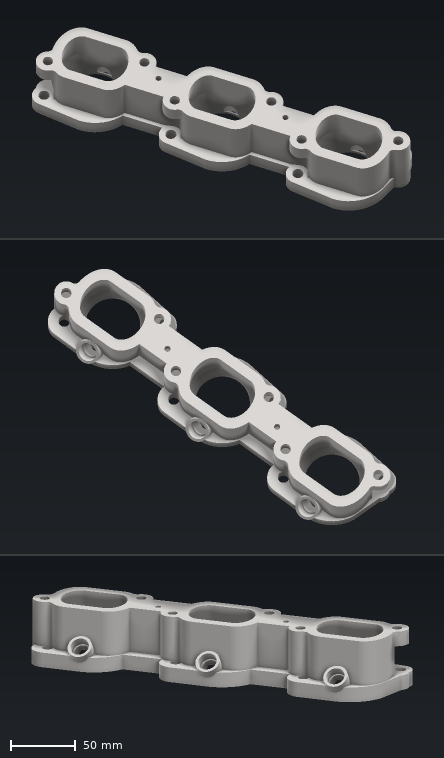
import cadquery as cq
import math

PORT_PITCH = 105.0
PORT_POSITIONS = [-PORT_PITCH, 0.0, PORT_PITCH]
FIRST_PORT = PORT_POSITIONS[0]
LAST_PORT = PORT_POSITIONS[-1]
BODY_HEIGHT = 48.0
FLANGE_HEIGHT = 12.0
LUG_HEIGHT = 12.0
LUG_UNDERSIDE = BODY_HEIGHT - LUG_HEIGHT

PORT_FLAT_HALF = 14.0
PORT_HALF_LENGTH = 26.0
PORT_WIDTH = 34.5
PORT_HALF_WIDTH = PORT_WIDTH / 2
PORT_TAPER_HEIGHT = 26.7
PORT_OUTLET_RADIUS = 21.3

WALL_FLAT_HALF = 16.0
WALL_HALF_LENGTH = 34.0
WALL_HALF_WIDTH = 25.5

BRIDGE_BACK = 10.0
BRIDGE_FRONT = -15.3
FLANGE_BRIDGE_HALF_WIDTH = 18.3

LUG_RADIUS = 9.3
LUG_FILLET = 4.5
CORNER_TOLERANCE = 0.03
BACK_LUG = (36.8, 10.5)
FRONT_LUG = (-33.2, -15.3)
BOLT_HOLE_DIAMETER = 8.0
DOWEL_HOLE_RADIUS = 2.5
DOWEL_HOLE_DEPTH = 9.0

PAD_RADIUS = 35.0
PAD_SIDE_ANGLE = 155.0
PAD_FRONT_ANGLE = 270.0
BACK_EAR = (30.2, 22.2)
BACK_EAR_RADIUS = 12.5
FRONT_EAR = (-33.8, -22.0)
FRONT_EAR_RADIUS = 9.3
FLANGE_HOLE_DIAMETER = 8.7

RELIEF_WIDTH = 16.5
RELIEF_RADIUS = RELIEF_WIDTH / 2
RELIEF_LENGTH = 36.0
END_RELIEF_ANGLE = 122.0
INNER_RELIEF_ANGLE = 193.0

BOSS_TILT = 40.0
BOSS_RADIUS = 9.5
BOSS_FACE_Y = 33.0
BOSS_FACE_Z = 19.8
BOSS_LENGTH = 15.0
BOSS_SEAT_DIAMETER = 14.7
BOSS_SEAT_DEPTH = 8.0
BOSS_BORE_RADIUS = 6.3
BOSS_BORE_DEPTH = 21.0


def cylinder(x, y, radius, bottom, top):
    return cq.Workplane("XY").workplane(offset=bottom).center(x, y).circle(radius).extrude(top - bottom)


def block(x_min, x_max, y_min, y_max, bottom, top):
    size = (x_max - x_min, y_max - y_min, top - bottom)
    return cq.Workplane("XY").box(*size, centered=False).translate((x_min, y_min, bottom))


def point_on_circle(center, radius, angle):
    turn = math.radians(angle)
    return (center[0] + radius * math.cos(turn), center[1] + radius * math.sin(turn))


def arc_to(outline, center, radius, start, end):
    """Continue an outline along a circle from one angle to another."""
    middle = point_on_circle(center, radius, (start + end) / 2)
    return outline.threePointArc(middle, point_on_circle(center, radius, end))


def tangent_angle(point, center, radius, side):
    """Angle on the circle where a line from an outside point touches it."""
    dx = point[0] - center[0]
    dy = point[1] - center[1]
    spread = math.acos(radius / math.hypot(dx, dy))
    return math.degrees(math.atan2(dy, dx) + side * spread)


def at_each_port(body, feature):
    """Join a copy of a feature to the body at every port."""
    for x in PORT_POSITIONS:
        body = body.union(feature.translate((x, 0, 0)))
    return body


def cut_at_each_port(body, feature):
    """Remove a copy of a feature from the body at every port."""
    for x in PORT_POSITIONS:
        body = body.cut(feature.translate((x, 0, 0)))
    return body


def oblong(flat_half, half_length, half_width, bottom, top):
    """Prism with flat sides and half-elliptical ends."""
    prism = block(-flat_half, flat_half, -half_width, half_width, bottom, top)
    for x in (-flat_half, flat_half):
        end = (
            cq.Workplane("XY").workplane(offset=bottom).center(x, 0)
            .ellipse(half_length - flat_half, half_width).extrude(top - bottom)
        )
        prism = prism.union(end)
    return prism


def port_wall():
    """Outer wall of one port with its two lugs and the fillets between them."""
    wall = oblong(WALL_FLAT_HALF, WALL_HALF_LENGTH, WALL_HALF_WIDTH, 0, BODY_HEIGHT)
    for lug in (BACK_LUG, FRONT_LUG):
        wall = wall.union(cylinder(*lug, LUG_RADIUS, 0, BODY_HEIGHT))

    def is_lug_corner(edge):
        """True for an upright edge where a lug meets the curved end of the wall."""
        box = edge.BoundingBox()
        middle = box.center
        on_lug = any(
            abs(math.hypot(middle.x - x, middle.y - y) - LUG_RADIUS) < CORNER_TOLERANCE
            and middle.x - x < LUG_RADIUS - CORNER_TOLERANCE
            for x, y in (BACK_LUG, FRONT_LUG)
        )
        return on_lug and box.zlen > LUG_HEIGHT

    corners = [edge for edge in wall.edges().vals() if is_lug_corner(edge)]
    return wall.newObject(corners).fillet(LUG_FILLET)


def flange_pad():
    """Round pad with an ear at the back and another at the front, outlined by arcs and straight sides."""
    center = (0, 0)
    ear_direction = math.degrees(math.atan2(BACK_EAR[1], BACK_EAR[0]))
    spread = math.degrees(math.acos((PAD_RADIUS - BACK_EAR_RADIUS) / math.hypot(*BACK_EAR)))
    right = ear_direction - spread
    back = ear_direction + spread

    side_start = point_on_circle(center, PAD_RADIUS, PAD_SIDE_ANGLE)
    front_start = point_on_circle(center, PAD_RADIUS, PAD_FRONT_ANGLE)
    ear_side = tangent_angle(side_start, FRONT_EAR, FRONT_EAR_RADIUS, 1)
    ear_front = tangent_angle(front_start, FRONT_EAR, FRONT_EAR_RADIUS, -1) + 360

    outline = cq.Workplane("XY").moveTo(*front_start)
    outline = arc_to(outline, center, PAD_RADIUS, PAD_FRONT_ANGLE - 360, right)
    outline = outline.lineTo(*point_on_circle(BACK_EAR, BACK_EAR_RADIUS, right))
    outline = arc_to(outline, BACK_EAR, BACK_EAR_RADIUS, right, back)
    outline = outline.lineTo(*point_on_circle(center, PAD_RADIUS, back))
    outline = arc_to(outline, center, PAD_RADIUS, back, PAD_SIDE_ANGLE)
    outline = outline.lineTo(*point_on_circle(FRONT_EAR, FRONT_EAR_RADIUS, ear_side))
    outline = arc_to(outline, FRONT_EAR, FRONT_EAR_RADIUS, ear_side, ear_front)
    return outline.close().extrude(FLANGE_HEIGHT)


def port_passage():
    """Straight oblong passage above a transition to a round outlet."""
    straight = oblong(
        PORT_FLAT_HALF, PORT_HALF_LENGTH, PORT_HALF_WIDTH, PORT_TAPER_HEIGHT, BODY_HEIGHT
    )
    top_wire = straight.faces("<Z").wires().val()
    corner = math.degrees(math.atan2(PORT_HALF_WIDTH, PORT_FLAT_HALF))
    corner_angles = [corner, 180 - corner, 180 + corner, 360 - corner]
    outlet = cq.Workplane("XY").moveTo(*point_on_circle((0, 0), PORT_OUTLET_RADIUS, corner_angles[-1]))
    start = corner_angles[-1] - 360
    for end in corner_angles:
        outlet = arc_to(outlet, (0, 0), PORT_OUTLET_RADIUS, start, end)
        start = end
    outlet_wire = outlet.close().wires().val()
    return straight.union(cq.Workplane(cq.Solid.makeLoft([outlet_wire, top_wire], True)))


def boss_cylinder(radius, near, far):
    """Cylinder on the boss axis between two depths below the boss face."""
    tilt = math.radians(BOSS_TILT)
    inward = cq.Vector(0, -math.sin(tilt), -math.cos(tilt))
    start = cq.Vector(0, BOSS_FACE_Y, BOSS_FACE_Z) + inward * near
    return cq.Workplane(cq.Solid.makeCylinder(radius, far - near, start, inward))


def boss_bore():
    """Stepped injector bore that breaks into the tapered part of the port."""
    seat = boss_cylinder(BOSS_SEAT_DIAMETER / 2, 0, BOSS_SEAT_DEPTH)
    return seat.union(boss_cylinder(BOSS_BORE_RADIUS, 0, BOSS_BORE_DEPTH))


def lug_relief(angle):
    """Round-bottomed slot over the front flange hole, open in the given direction."""
    top = LUG_UNDERSIDE
    slot = block(0, RELIEF_LENGTH, -RELIEF_RADIUS, RELIEF_RADIUS, FLANGE_HEIGHT, top)
    slot = slot.rotate((0, 0, 0), (0, 0, 1), angle).translate((*FRONT_EAR, 0))
    return slot.union(cylinder(*FRONT_EAR, RELIEF_RADIUS, FLANGE_HEIGHT, top))


def make_flange_blank():
    """Undrilled flange: pads joined by a plate, with a base under each front lug."""
    half_width = FLANGE_BRIDGE_HALF_WIDTH
    blank = block(FIRST_PORT, LAST_PORT, -half_width, half_width, 0, FLANGE_HEIGHT)
    blank = at_each_port(blank, flange_pad())
    return at_each_port(blank, cylinder(*FRONT_LUG, LUG_RADIUS, 0, FLANGE_HEIGHT))


def make_flange(blank):
    """Flange with its bolt holes, port outlets and the ends of the injector bores."""
    flange = blank
    for ear in (BACK_EAR, FRONT_EAR):
        bolt_hole = cylinder(*ear, FLANGE_HOLE_DIAMETER / 2, 0, FLANGE_HEIGHT)
        flange = cut_at_each_port(flange, bolt_hole)
    for passage in (port_passage(), boss_bore()):
        flange = cut_at_each_port(flange, passage)
    return flange


def make_housing(flange_blank):
    """Port walls, bridges, lugs and injector bosses; the flange sits in a recess underneath."""
    housing = block(FIRST_PORT, LAST_PORT, BRIDGE_FRONT, BRIDGE_BACK, 0, BODY_HEIGHT)
    for feature in (port_wall(), boss_cylinder(BOSS_RADIUS, 0, BOSS_LENGTH)):
        housing = at_each_port(housing, feature)
    housing = housing.cut(flange_blank)

    for passage in (port_passage(), boss_bore()):
        housing = cut_at_each_port(housing, passage)
    for lug in (BACK_LUG, FRONT_LUG):
        bolt_hole = cylinder(*lug, BOLT_HOLE_DIAMETER / 2, LUG_UNDERSIDE, BODY_HEIGHT)
        housing = cut_at_each_port(housing, bolt_hole)
    for x in PORT_POSITIONS:
        angle = END_RELIEF_ANGLE if x == FIRST_PORT else INNER_RELIEF_ANGLE
        housing = housing.cut(lug_relief(angle).translate((x, 0, 0)))

    dowel_bottom = BODY_HEIGHT - DOWEL_HOLE_DEPTH
    for left, right in zip(PORT_POSITIONS, PORT_POSITIONS[1:]):
        middle = (left + right) / 2
        housing = housing.cut(cylinder(middle, 0, DOWEL_HOLE_RADIUS, dowel_bottom, BODY_HEIGHT))
    return housing


flange_blank = make_flange_blank()
flange = make_flange(flange_blank)
housing = make_housing(flange_blank)

result = cq.Compound.makeCompound([*flange.solids().vals(), *housing.solids().vals()])